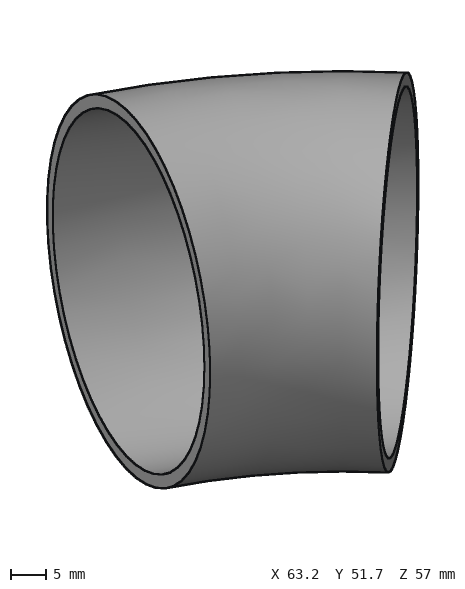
import cadquery as cq

outer_radius = 28.5
wall_thickness = 2.0
bend_radius = 74.85
bend_angle = 30.0

inner_radius = outer_radius - wall_thickness


def make_elbow():
    """Sweep the ring-shaped pipe section around a bend axis parallel to Z."""
    pipe_section = cq.Workplane("XZ").circle(outer_radius).circle(inner_radius)
    axis_start = (bend_radius, 0)
    axis_end = (bend_radius, -1)
    return pipe_section.revolve(bend_angle, axis_start, axis_end)


result = make_elbow()